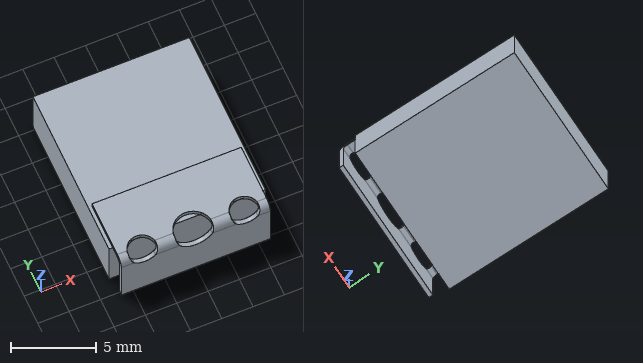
import cadquery as cq
import math

overall_width = 10.0
overall_length = 12.45
overall_height = 3.9

body_length = 11.17

sheet_thickness = 0.3
cover_width = 9.52
cover_length = 4.31
outer_bend_radius = 0.6
inner_bend_radius = outer_bend_radius - sheet_thickness

middle_hole_diameter = 2.4
side_hole_diameter = 1.8
side_hole_spacing = 3.26
neutral_bend_radius = 0.51
hole_centre_past_bend_start = 0.21

bend_sections = 7
cut_margin = 0.06

body_height = overall_height - sheet_thickness
bend_y = outer_bend_radius
bend_z = overall_height - outer_bend_radius
bend_length = neutral_bend_radius * math.pi / 2


def make_body():
    return (
        cq.Workplane("XY")
        .box(overall_width, body_length, body_height, centered=(True, False, False))
        .translate((0, overall_length - body_length, 0))
    )


def make_cover():
    """L-shaped sheet with a rounded bend, extruded across its width."""
    diagonal = math.sqrt(0.5)
    return (
        cq.Workplane("YZ")
        .moveTo(cover_length, overall_height)
        .lineTo(bend_y, overall_height)
        .threePointArc(
            (bend_y - outer_bend_radius * diagonal, bend_z + outer_bend_radius * diagonal),
            (0, bend_z),
        )
        .lineTo(0, 0)
        .lineTo(sheet_thickness, 0)
        .lineTo(sheet_thickness, bend_z)
        .threePointArc(
            (bend_y - inner_bend_radius * diagonal, bend_z + inner_bend_radius * diagonal),
            (bend_y, body_height),
        )
        .lineTo(cover_length, body_height)
        .close()
        .extrude(cover_width / 2, both=True)
    )


def hole_segment(radius, first, last):
    """Slice of the flat hole between two distances past its centre, counted along -Y."""
    depth = sheet_thickness + 2 * cut_margin
    width = 2 * (radius + cut_margin)
    slice_box = cq.Workplane("XY").box(width, last - first, depth, centered=(True, False, False))
    disc = cq.Workplane("XY").circle(radius).extrude(depth)
    return disc.intersect(slice_box.translate((0, -last, 0)))


def bend_section(x, radius, angle):
    """Radial rectangle through the bend, as wide as the hole at that bend angle."""
    offset = neutral_bend_radius * angle - hole_centre_past_bend_start
    half_width = math.sqrt(radius**2 - offset**2)
    corners = []
    for side, reach in (
        (-half_width, inner_bend_radius - cut_margin),
        (half_width, inner_bend_radius - cut_margin),
        (half_width, outer_bend_radius + cut_margin),
        (-half_width, outer_bend_radius + cut_margin),
    ):
        corners.append(
            cq.Vector(x + side, bend_y - reach * math.sin(angle), bend_z + reach * math.cos(angle))
        )
    return cq.Wire.makePolygon(corners, close=True)


def cut_bent_hole(cover, x, diameter):
    """Cut the hole through the flat top, around the bend and into the front leg."""
    radius = diameter / 2

    top_part = hole_segment(radius, -radius, -hole_centre_past_bend_start)
    top_part = top_part.translate(
        (x, bend_y - hole_centre_past_bend_start, body_height - cut_margin)
    )

    sections = []
    for index in range(bend_sections):
        angle = math.pi / 2 * index / (bend_sections - 1)
        sections.append(bend_section(x, radius, angle))
    bend_part = cq.Workplane(obj=cq.Solid.makeLoft(sections))

    leg_start = bend_length - hole_centre_past_bend_start
    leg_part = hole_segment(radius, leg_start, radius)
    leg_part = leg_part.rotate((0, 0, 0), (1, 0, 0), 90)
    leg_part = leg_part.translate((x, sheet_thickness + cut_margin, bend_z + leg_start))

    return cover.cut(top_part).cut(bend_part).cut(leg_part)


cover = make_cover()
cover = cut_bent_hole(cover, 0, middle_hole_diameter)
for side in (-1, 1):
    cover = cut_bent_hole(cover, side * side_hole_spacing, side_hole_diameter)

result = make_body().union(cover)